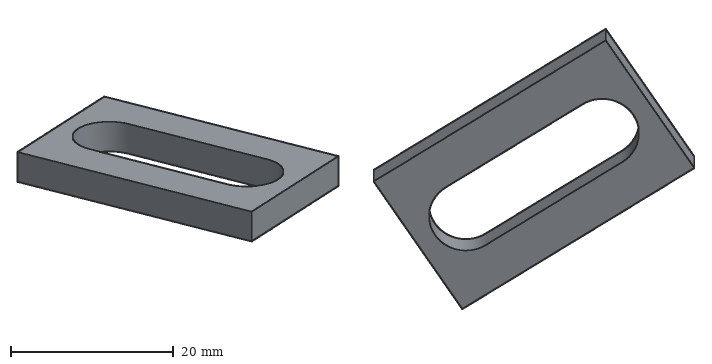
import cadquery as cq

plate_length = 34.0
plate_width = 20.0
plate_thickness = 4.0

slot_length = 29.0
slot_width = 9.0

plate = cq.Workplane("XY").box(plate_length, plate_width, plate_thickness)
result = plate.faces(">Z").workplane().slot2D(slot_length, slot_width).cutThruAll()